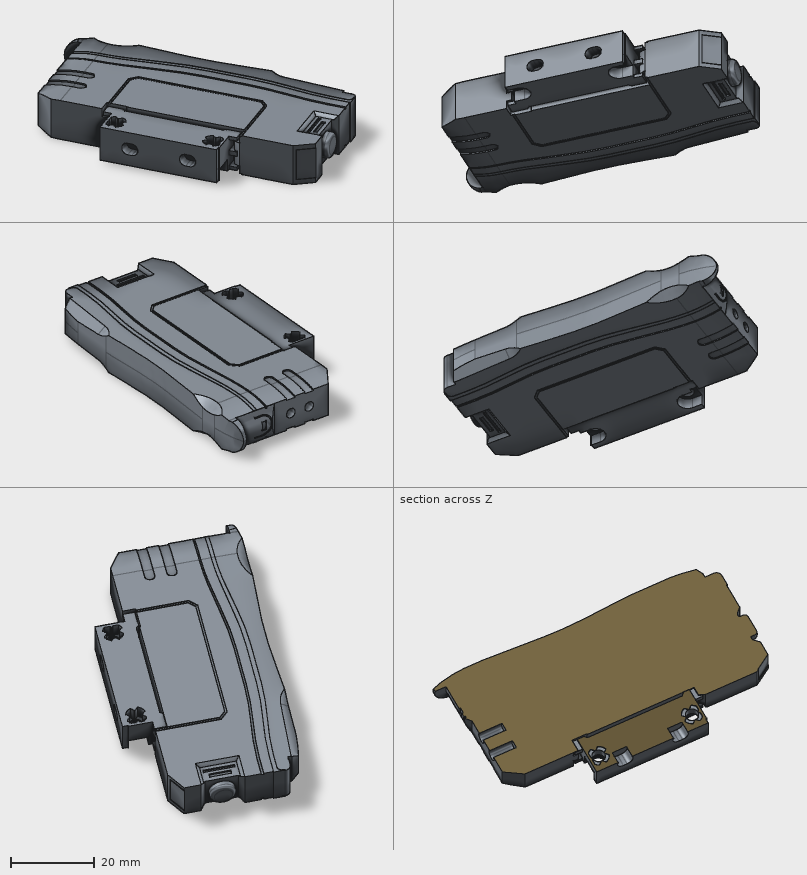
import cadquery as cq
import math


LENGTH = 76.8
HEIGHT = 40.5
THICKNESS = 10.8
HALF = THICKNESS / 2
MARGIN = 0.8

BASE_Y = 7.4
FRONT_X = 4.2
BACK_X = 76.2
CORNER_Y = 10.4
FRONT_CORNER_X = 8.8
BACK_CORNER_X = 71.6
SHOULDER_Y = 36.8
SHOULDER_RADIUS = 1.5
SHELL_LIP = 0.2
SHELL_LIP_X = BACK_X + SHELL_LIP
SHELL_LIP_Y = 32.4
SHELL_RIM = 0.1

TAPER_X = 11.2
NOSE_HALF = 4.45

COVER_BOTTOM_Y = 37.8
COVER_TOP_HALF = 5.15
COVER_BACK_X = 72.6
TIP_HALF = 4.4
TIP_ARC_POINT = (1.1, 2.85)
TIP_EDGE_Y = 38.65
CROWN_START = (71.7, 39.65)
CROWN_POINTS = [(65.3, HEIGHT), (52.55, 40.4), (35.95, 39.5), (14.2, HEIGHT), (2.45, 39.5), (0, TIP_EDGE_Y)]
SCOOP_TAPER = 50.0
SCOOP_DEPTH = 2.3
FRONT_SCOOP_X = 12.1
FRONT_SCOOP_BOTTOM_Y = 37.8
FRONT_SCOOP_RADIUS = 10.4
BACK_SCOOP_TOP_Y = 46.1
BACK_SCOOP_END = (84.5, 36.65)
BACK_SCOOP_BEND = (56.85, 38.25)
BACK_SCOOP_RISE = (51.7, 41.25)
BACK_SCOOP_START_X = 49.2

PANEL_LINE = (32.6, 35.3, 33.5)
SHELL_LINE = (31.65, 34.2, SHELL_LIP_Y)
GROOVE_UPPER_LINE = (29.1, 31.7, 30.0)
GROOVE_LOWER_LINE = (28.7, 31.2, 29.4)
WAVE_RISE_X = 10.9
WAVE_CREST_START_X = 38.4
WAVE_CREST_END_X = 49.9
WAVE_FALL_X = 71.45
PANEL_CORNER = 1.2
GROOVE_DEPTH = 0.4

LATCH_REACH_X = 3.0
LATCH_HALF = 4.3
LATCH_BOTTOM_Y = 26.4
LATCH_FULL_Y = 27.9
ARCH_TOP_Y = 32.7
ARCH_SPRING_Y = 31.5
ARCH_BOTTOM_Y = 28.05
ARCH_HALF = 2.9
ARCH_FLAT_HALF = 1.4
ARCH_WIDTH = 0.3
ARCH_BULGE = 0.7
LATCH_ENGRAVING = 0.4
WINDOW_Y = (29.6, 30.9)
WINDOW_HALF = 1.2

PORT_HEIGHTS = (16.05, 21.5)
PORT_DIAMETER = 2.5
PORT_DEPTH = 6.15
MARKER_END_X = 14.4
MARKER_WIDTH = 2.45

LABEL_LEFT = 22.35
LABEL_RIGHT = 58.2
LABEL_TOP = 25.4
LABEL_CORNER = 1.85
LABEL_GROOVE_WIDTH = 0.5
LABEL_GROOVE_DEPTH = 0.2

NOTCH_Y = (14.5, 25.4)
NOTCH_DEPTH = 1.4
POCKET_LEFT = 69.7
POCKET_BEVEL = 0.9
CORE_HALF = 4.45
CABLE_Y = sum(NOTCH_Y) / 2
CABLE_DIAMETER = 6.5
CABLE_ROUND = 1.0
SLOT_SIZES = ((71.8, 0.7, 7.75), (73.4, 0.9, 5.4))
SLOT_DEPTH = 0.45
CORNER_PANEL_X = 72.2
CORNER_PANEL_HALF = 4.1
CORNER_PANEL_DEPTH = 0.15

RECESS_LEFT = 22.0
RECESS_RIGHT = 57.7
RECESS_TOP = 10.4
RECESS_STEP_X = 27.2
RECESS_STEP = 0.2
BRACKET_HALF = 4.5
BRACKET_LEFT = 24.4
BRACKET_RIGHT = 54.9
FOOT_LEFT = 22.35
FOOT_RIGHT = 57.0
TINE_INNER = 0.6
TINE_OUTER = 3.6
RELIEF_X = (26.3, 53.15)
RELIEF_DEPTH = 0.7
FINGER_LEFT_TIP = 23.3
FINGER_RIGHT_TIP = 56.1
FINGER_RIGHT_TIP_Y = 8.1
FINGER_INNER = 0.8
FINGER_OUTER = 3.15
BACK_STEP = 0.2
BACK_STEP_Y = 1.4

SCREW_X = (27.0, 52.2)
SCREW_Y = 3.9
SCREW_DIAMETER = 3.2
LOBE_RADIUS = 2.5
LOBE_WIDTH = 2.1
LOBE_DEPTH = 3.85
LOBE_END_WALL = 0.7
NUT_DIAMETER = 5.0
NUT_DEPTH = 3.1
BASE_HOLE_X = (32.2, 47.2)
BASE_HOLE_LENGTH = 4.15
BASE_HOLE_WIDTH = 3.15
BASE_HOLE_DEPTH = 3.1


def box(x_range, y_range, z_range):
    """Box spanning three ranges."""
    size = [high - low for low, high in (x_range, y_range, z_range)]
    return cq.Workplane("XY").box(*size, centered=False).translate((x_range[0], y_range[0], z_range[0]))


def both_sides(body):
    """Body together with its mirror image across the mid-plane."""
    return body.union(body.mirror("XY"))


def prism(outline):
    """Closed XY outline drawn on the mid-plane, extruded through the whole thickness."""
    return outline.close().extrude(HALF + MARGIN, both=True)


def side_outline():
    """Profile of housing and cover, extruded through the thickness."""
    corner = SHOULDER_RADIUS * (1 - math.sqrt(0.5))
    outline = (
        cq.Workplane("XY")
        .moveTo(FRONT_CORNER_X, BASE_Y)
        .lineTo(BACK_CORNER_X, BASE_Y)
        .lineTo(BACK_X, CORNER_Y)
        .lineTo(BACK_X, SHELL_LIP_Y)
        .lineTo(SHELL_LIP_X, SHELL_LIP_Y)
        .lineTo(SHELL_LIP_X, SHOULDER_Y - SHOULDER_RADIUS)
        .threePointArc(
            (SHELL_LIP_X - corner, SHOULDER_Y - corner),
            (SHELL_LIP_X - SHOULDER_RADIUS, SHOULDER_Y),
        )
        .lineTo(COVER_BACK_X, SHOULDER_Y)
        .lineTo(COVER_BACK_X, COVER_BOTTOM_Y)
        .lineTo(*CROWN_START)
        .spline(CROWN_POINTS, includeCurrent=True)
        .lineTo(0, COVER_BOTTOM_Y)
        .lineTo(FRONT_X, COVER_BOTTOM_Y)
        .lineTo(FRONT_X, CORNER_Y)
    )
    return prism(outline)


def nose_plan(inset):
    """Closed plan outline of the curved nose and parallel sides, moved inward by the inset."""
    side = HALF - inset
    nose = NOSE_HALF - inset
    run = TAPER_X - FRONT_X
    drop = side - nose
    radius = (run**2 + drop**2) / (2 * drop)
    middle = (TAPER_X - run / 2, side - radius + math.sqrt(radius**2 - (run / 2) ** 2))
    return (
        cq.Workplane("XZ", origin=(0, PANEL_LINE[0], 0))
        .moveTo(-MARGIN, nose)
        .lineTo(FRONT_X, nose)
        .threePointArc(middle, (TAPER_X, side))
        .lineTo(LENGTH + MARGIN, side)
        .lineTo(LENGTH + MARGIN, -side)
        .lineTo(TAPER_X, -side)
        .threePointArc((middle[0], -middle[1]), (FRONT_X, -nose))
        .lineTo(-MARGIN, -nose)
        .close()
    )


def cover_tip_plan():
    """Round front end of the cover, as wide as needed behind it."""
    half_plan = (
        cq.Workplane("XZ")
        .moveTo(0, 0)
        .threePointArc(TIP_ARC_POINT, (FRONT_X, TIP_HALF))
        .lineTo(FRONT_X, HALF)
        .lineTo(LENGTH + MARGIN, HALF)
        .lineTo(LENGTH + MARGIN, 0)
        .close()
        .extrude(-(HEIGHT + MARGIN))
    )
    return both_sides(half_plan)


def plan_envelope(inset):
    """Space within the side surfaces moved inward by the inset."""
    return nose_plan(inset).extrude(HEIGHT, both=True)


def region_above(line):
    """Everything above a wavy line given by its front, crest and back heights."""
    front_y, crest_y, back_y = line
    level = [(1, 0), (1, 0)]
    outline = (
        cq.Workplane("XY")
        .moveTo(-MARGIN, front_y)
        .lineTo(WAVE_RISE_X, front_y)
        .spline([(WAVE_CREST_START_X, crest_y)], tangents=level, includeCurrent=True)
        .lineTo(WAVE_CREST_END_X, crest_y)
        .spline([(WAVE_FALL_X, back_y)], tangents=level, includeCurrent=True)
        .lineTo(LENGTH + MARGIN, back_y)
        .lineTo(LENGTH + MARGIN, HEIGHT + MARGIN)
        .lineTo(-MARGIN, HEIGHT + MARGIN)
    )
    return prism(outline)


def panel_region():
    """Upper panel: above its line, with one round corner at the cable end."""
    top = HEIGHT + MARGIN
    frame = box((-MARGIN, BACK_X), (PANEL_LINE[2], top), (-HALF, HALF))
    frame = frame.edges("|Z and >X and <Y").fillet(PANEL_CORNER)
    past_cover = box((BACK_X, LENGTH), (SHOULDER_Y - SHOULDER_RADIUS, top), (-HALF, HALF))
    front = box((-MARGIN, WAVE_CREST_START_X), (PANEL_LINE[0], top), (-HALF, HALF))
    return region_above(PANEL_LINE).intersect(frame.union(front)).union(past_cover)


def drafted_sides():
    """Space whose sides lean inward from the lower end of the panel line to the cover top."""
    rise = HEIGHT - PANEL_LINE[0]
    draft = math.degrees(math.atan((HALF - SHELL_RIM - COVER_TOP_HALF) / rise))
    return nose_plan(SHELL_RIM).extrude(-rise, taper=draft)


def housing_shell():
    """Lower shell, proud upper rim and drafted upper panel as one block."""
    profile = side_outline().intersect(cover_tip_plan())
    inner = profile.intersect(plan_envelope(SHELL_RIM))
    panel_zone = panel_region()
    panel = inner.intersect(panel_zone).intersect(drafted_sides())
    rim = profile.intersect(plan_envelope(0)).intersect(region_above(SHELL_LINE)).cut(panel_zone)
    return inner.cut(region_above(SHELL_LINE)).union(rim).union(panel)


def finger_scoops():
    """Two hollows in each upper long edge, narrowing toward the mid-plane."""
    side = cq.Workplane("XY", origin=(0, 0, HALF))
    front_centre_y = FRONT_SCOOP_BOTTOM_Y + FRONT_SCOOP_RADIUS
    front_scoop = (
        side.moveTo(FRONT_SCOOP_X, front_centre_y)
        .circle(FRONT_SCOOP_RADIUS)
        .extrude(-SCOOP_DEPTH, taper=SCOOP_TAPER)
    )
    back_scoop = (
        side.moveTo(BACK_SCOOP_END[0], BACK_SCOOP_TOP_Y)
        .lineTo(*BACK_SCOOP_END)
        .lineTo(*BACK_SCOOP_BEND)
        .tangentArcPoint(BACK_SCOOP_RISE, relative=False)
        .lineTo(BACK_SCOOP_START_X, BACK_SCOOP_TOP_Y)
        .close()
        .extrude(-SCOOP_DEPTH, taper=SCOOP_TAPER)
    )
    return both_sides(front_scoop.union(back_scoop))


def parting_groove():
    """Wavy groove along both sides and around the nose taper."""
    band = region_above(GROOVE_LOWER_LINE).cut(region_above(GROOVE_UPPER_LINE))
    return band.cut(plan_envelope(SHELL_RIM + GROOVE_DEPTH))


def port_markers():
    """Round-ended side slots that lead to the fibre ports."""
    slots = cq.Workplane("XY")
    for height in PORT_HEIGHTS:
        radius = MARKER_WIDTH / 2
        end_centre = MARKER_END_X - radius
        slots = slots.add(
            prism(
                cq.Workplane("XY")
                .moveTo(0, height - radius)
                .lineTo(end_centre, height - radius)
                .threePointArc((MARKER_END_X, height), (end_centre, height + radius))
                .lineTo(0, height + radius)
            )
        )
    return slots.combine().cut(plan_envelope(SHELL_RIM + GROOVE_DEPTH))


def fibre_ports():
    """Two blind bores in the flat front end."""
    return (
        cq.Workplane("YZ", origin=(FRONT_X, 0, 0))
        .pushPoints([(height, 0) for height in PORT_HEIGHTS])
        .circle(PORT_DIAMETER / 2)
        .extrude(PORT_DEPTH)
    )


def latch_bulge(inset):
    """Convex latch on the nose with a sloping lower end, its surface moved inward by the inset."""
    face_x = LATCH_REACH_X + inset
    root_x = FRONT_X + inset
    bulge = (
        cq.Workplane("XZ", origin=(0, LATCH_BOTTOM_Y, 0))
        .moveTo(root_x, -LATCH_HALF)
        .threePointArc((face_x, 0), (root_x, LATCH_HALF))
        .lineTo(TAPER_X, LATCH_HALF)
        .lineTo(TAPER_X, -LATCH_HALF)
        .close()
        .extrude(LATCH_BOTTOM_Y - COVER_BOTTOM_Y)
    )
    below_slope = (
        cq.Workplane("XY")
        .moveTo(root_x, LATCH_BOTTOM_Y)
        .lineTo(face_x, LATCH_FULL_Y)
        .lineTo(face_x - MARGIN, LATCH_FULL_Y)
        .lineTo(face_x - MARGIN, LATCH_BOTTOM_Y)
    )
    return bulge.cut(prism(below_slope))


def arch(inset):
    """U-shaped tongue outline on the latch, shrunk by the inset, as a cutter along X."""
    half = ARCH_HALF - inset
    flat = ARCH_FLAT_HALF - inset / 2
    bottom = ARCH_BOTTOM_Y + inset
    bend = (ARCH_SPRING_Y - ARCH_BULGE * (ARCH_SPRING_Y - bottom), flat + ARCH_BULGE * (half - flat))
    return (
        cq.Workplane("YZ")
        .moveTo(ARCH_TOP_Y, half)
        .lineTo(ARCH_SPRING_Y, half)
        .threePointArc(bend, (bottom, flat))
        .lineTo(bottom, -flat)
        .threePointArc((bend[0], -bend[1]), (ARCH_SPRING_Y, -half))
        .lineTo(ARCH_TOP_Y, -half)
        .close()
        .extrude(TAPER_X)
    )


def latch_engraving():
    """Shallow U-shaped line and window in the latch."""
    line = arch(0).cut(arch(ARCH_WIDTH))
    window = box((0, TAPER_X), WINDOW_Y, (-WINDOW_HALF, WINDOW_HALF))
    return line.union(window).cut(latch_bulge(LATCH_ENGRAVING))


def label_outline(inset):
    """Label panel with two clipped upper corners, shrunk by the inset and open at the bottom."""
    left = LABEL_LEFT + inset
    right = LABEL_RIGHT - inset
    top = LABEL_TOP - inset
    clip = LABEL_CORNER - inset * (2 - math.sqrt(2))
    return prism(
        cq.Workplane("XY")
        .moveTo(left, 0)
        .lineTo(left, top - clip)
        .lineTo(left + clip, top)
        .lineTo(right - clip, top)
        .lineTo(right, top - clip)
        .lineTo(right, 0)
    )


def label_grooves():
    """Thin groove around the label panel on both sides."""
    frame = label_outline(0).cut(label_outline(LABEL_GROOVE_WIDTH))
    return frame.cut(plan_envelope(SHELL_RIM + LABEL_GROOVE_DEPTH))


def cable_end_cut():
    """End notch, bevelled side pockets and their small slots."""
    low, high = NOTCH_Y
    notch = prism(
        cq.Workplane("XY")
        .moveTo(BACK_X, low)
        .lineTo(BACK_X - NOTCH_DEPTH, low + NOTCH_DEPTH)
        .lineTo(BACK_X - NOTCH_DEPTH, high - NOTCH_DEPTH)
        .lineTo(BACK_X, high)
    )
    outer_length = LENGTH - POCKET_LEFT
    outer_width = high - low
    pocket = (
        cq.Workplane("XY", origin=(POCKET_LEFT + outer_length / 2, CABLE_Y, HALF))
        .rect(outer_length, outer_width)
        .workplane(offset=CORE_HALF - HALF)
        .center(POCKET_BEVEL / 2, 0)
        .rect(outer_length - POCKET_BEVEL, outer_width - 2 * POCKET_BEVEL)
        .loft(combine=True)
    )
    for centre_x, width, height in SLOT_SIZES:
        slot = (
            cq.Workplane("XY", origin=(centre_x, CABLE_Y, CORE_HALF - SLOT_DEPTH))
            .rect(width, height)
            .extrude(2 * SLOT_DEPTH)
        )
        pocket = pocket.union(slot)
    return notch.union(both_sides(pocket))


def corner_panel():
    """Shallow panel sunk parallel to the sloping lower corner at the cable end."""
    run = BACK_X - BACK_CORNER_X
    rise = CORNER_Y - BASE_Y
    start_y = BASE_Y + rise * (CORNER_PANEL_X - BACK_CORNER_X) / run
    outline = (
        cq.Workplane("XY", origin=(0, 0, -CORNER_PANEL_HALF))
        .moveTo(CORNER_PANEL_X, start_y - MARGIN)
        .lineTo(CORNER_PANEL_X, start_y + CORNER_PANEL_DEPTH)
        .lineTo(BACK_X, CORNER_Y + CORNER_PANEL_DEPTH)
        .lineTo(BACK_X, start_y - MARGIN)
        .close()
    )
    return outline.extrude(2 * CORNER_PANEL_HALF)


def cable_boss():
    """Round cable outlet with a rounded rim."""
    start_x = BACK_X - NOTCH_DEPTH
    boss = (
        cq.Workplane("YZ", origin=(start_x, CABLE_Y, 0))
        .circle(CABLE_DIAMETER / 2)
        .extrude(LENGTH - start_x)
    )
    return boss.faces(">X").edges().fillet(CABLE_ROUND)


def bracket_recess():
    """Opening through the underside with a slightly higher roof at the front."""
    full = box((RECESS_LEFT, RECESS_RIGHT), (0, RECESS_TOP), (-HALF, HALF))
    step = box((RECESS_LEFT, RECESS_STEP_X), (0, RECESS_TOP + RECESS_STEP), (-HALF, HALF))
    return full.union(step)


def holding_fingers():
    """Fingers of the housing that reach between the bracket tines."""
    front_roof = RECESS_TOP + RECESS_STEP
    front = box((RECESS_LEFT, FINGER_LEFT_TIP), (BASE_Y, front_roof), (FINGER_INNER, FINGER_OUTER))
    back = (
        cq.Workplane("XY")
        .moveTo(RECESS_RIGHT, BASE_Y)
        .lineTo(FINGER_RIGHT_TIP, FINGER_RIGHT_TIP_Y)
        .lineTo(FINGER_RIGHT_TIP, RECESS_TOP)
        .lineTo(RECESS_RIGHT, RECESS_TOP)
        .close()
        .extrude(FINGER_OUTER)
    )
    tine_slot = box((FINGER_RIGHT_TIP, FOOT_RIGHT), (BASE_Y, RECESS_TOP), (0, TINE_INNER))
    return both_sides(front.union(back.cut(tine_slot)))


def make_housing():
    """Amplifier housing with its cover, latch and cable outlet."""
    body = housing_shell().union(latch_bulge(0))
    cuts = [
        finger_scoops(),
        parting_groove(),
        port_markers(),
        fibre_ports(),
        latch_engraving(),
        label_grooves(),
        cable_end_cut(),
        corner_panel(),
        bracket_recess(),
    ]
    for cutter in cuts:
        body = body.cut(cutter)
    return body.union(cable_boss()).union(holding_fingers())


def bracket_block():
    """Mounting block with a wider tined foot that fills the housing recess."""
    across = (-BRACKET_HALF, BRACKET_HALF)
    block = box((BRACKET_LEFT, BRACKET_RIGHT), (0, RECESS_TOP), across)
    foot = box((FOOT_LEFT, FOOT_RIGHT), (BASE_Y, RECESS_TOP), across)
    gaps = box((FOOT_LEFT, BRACKET_LEFT), (BASE_Y, RECESS_TOP), (TINE_INNER, TINE_OUTER))
    gaps = gaps.union(box((BRACKET_RIGHT, FOOT_RIGHT), (BASE_Y, RECESS_TOP), (TINE_INNER, TINE_OUTER)))
    back_step = box((BRACKET_RIGHT - BACK_STEP, BRACKET_RIGHT), (0, BACK_STEP_Y), across)
    return block.union(foot.cut(both_sides(gaps))).cut(back_step)


def top_relief():
    """Shallow bevel-ended relief that leaves a gap under the housing."""
    left, right = RELIEF_X
    return prism(
        cq.Workplane("XY")
        .moveTo(left, RECESS_TOP)
        .lineTo(left + RELIEF_DEPTH, RECESS_TOP - RELIEF_DEPTH)
        .lineTo(right - RELIEF_DEPTH, RECESS_TOP - RELIEF_DEPTH)
        .lineTo(right, RECESS_TOP)
    )


def screw_hole(centre_x, end_x):
    """Screw hole with a cross-shaped top recess and a nut seat open toward the near end."""
    screw = (
        cq.Workplane("XY", origin=(centre_x, SCREW_Y, -BRACKET_HALF))
        .circle(SCREW_DIAMETER / 2)
        .extrude(2 * BRACKET_HALF)
    )
    recess = cq.Workplane("XY", origin=(centre_x, SCREW_Y, BRACKET_HALF - LOBE_DEPTH))
    lobe = recess.rect(2 * LOBE_RADIUS, LOBE_WIDTH).extrude(LOBE_DEPTH)
    cross = lobe.rotate((centre_x, SCREW_Y, 0), (centre_x, SCREW_Y, 1), 45)
    cross = cross.union(lobe.rotate((centre_x, SCREW_Y, 0), (centre_x, SCREW_Y, 1), -45))
    cross = cross.intersect(recess.circle(LOBE_RADIUS).extrude(LOBE_DEPTH))
    inner_x = (BRACKET_LEFT + LOBE_END_WALL, BRACKET_RIGHT - LOBE_END_WALL)
    cross = cross.intersect(box(inner_x, (0, BASE_Y), (-HALF, HALF)))

    radius = NUT_DIAMETER / 2
    seat_z = (-BRACKET_HALF, NUT_DEPTH - BRACKET_HALF)
    seat = (
        cq.Workplane("XY", origin=(centre_x, SCREW_Y, seat_z[0]))
        .circle(radius)
        .extrude(NUT_DEPTH)
    )
    exit_x = (min(centre_x, end_x), max(centre_x, end_x))
    seat = seat.union(box(exit_x, (SCREW_Y - radius, SCREW_Y + radius), seat_z))
    return screw.union(cross).union(seat)


def base_holes():
    """Round-ended blind holes in the underside."""
    return (
        cq.Workplane("XZ")
        .pushPoints([(x, 0) for x in BASE_HOLE_X])
        .slot2D(BASE_HOLE_LENGTH, BASE_HOLE_WIDTH)
        .extrude(-BASE_HOLE_DEPTH)
    )


def make_bracket():
    """Mounting bracket held in the housing recess."""
    body = bracket_block().cut(top_relief()).cut(base_holes())
    for centre_x, end_x in zip(SCREW_X, (BRACKET_LEFT, BRACKET_RIGHT)):
        body = body.cut(screw_hole(centre_x, end_x))
    return body


housing = make_housing()
bracket = make_bracket()
result = cq.Compound.makeCompound([housing.val(), bracket.val()])